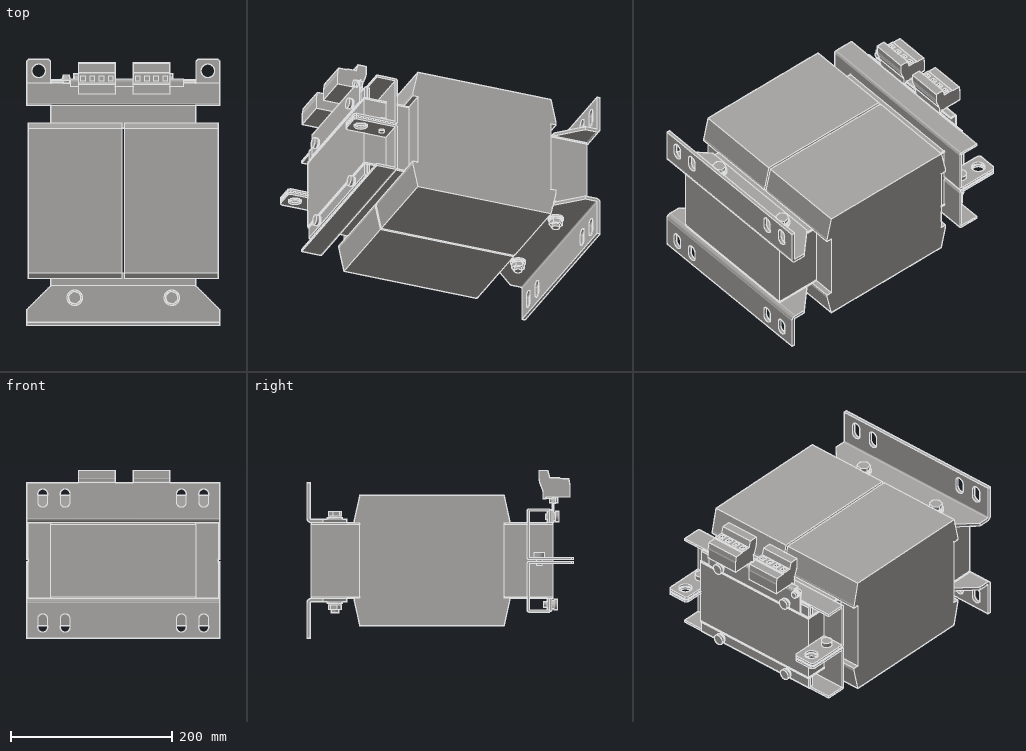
import cadquery as cq

TOTAL_WIDTH = 240.0
TOTAL_DEPTH = 331.0
HALF_WIDTH = TOTAL_WIDTH / 2

CORE_WIDTH = 180.0
CORE_HEIGHT = 90.0
CORE_FRONT = 5.0
CORE_BACK = 305.5
YOKE_DEPTH = 60.5
PAD_THICKNESS = 2.0
PAD_INSET = 0.3
CLAMP_Z = CORE_HEIGHT / 2 + PAD_THICKNESS

COIL_GAP = 3.0
COIL_SIDE = 118.2
COIL_HEIGHT = 162.2
COIL_OVERHANG = 7.0
COIL_FLANGE_Z = 46.5
COIL_LIP = 3.3

ANGLE_THICKNESS = 4.3
ANGLE_INNER_BEND = 1.0
ANGLE_TOP = 96.5
ANGLE_DEPTH = 49.5
ANGLE_END_DEPTH = 20.0
SLOT_POSITIONS = (72.0, 100.0)
SLOT_WIDTH = 12.0
SLOT_LENGTH = 22.5
SLOT_Z = 77.5

CORE_BOLT_X = 60.2
CORE_BOLT_Y = 34.8
WASHER_DIAMETER = 19.2
WASHER_HEIGHT = 2.0
SPRING_DIAMETER = 15.2
SPRING_HEIGHT = 2.0
HEX_CORNERS = 16.5
HEX_HEIGHT = 5.5
HEX_TURN = 18.0
STUD_DIAMETER = 9.5
STUD_END = 4.0

SHEET = 3.0
BRACKET_BEND = 2.3
BRACKET_FRONT = 273.5
BRACKET_BACK = 301.2
BRACKET_TOP = 64.2
BAR_TOP = 63.2
BAR_THICKNESS = 3.3
BAR_CHAMFER = 1.5
BAR_INSET = 1.0
TAB_GAP = 2.0
TAB_CHAMFER = 2.5
LIFT_HOLE = 16.5
LIFT_HOLE_Y = 316.5

SCREW_HEAD = 13.2
SCREW_HEAD_HEIGHT = 4.5
SCREW_COLLAR = 10.5
SCREW_COLLAR_HEIGHT = 2.0
SCREW_SHANK = 7.0
LIP_SCREW_X = 55.0
LIP_SCREW_Z = 54.5
UPPER_SCREW_END = 296.0
LOWER_SCREW_END = 293.5
TAB_SCREW_Y = 288.3
TAB_SCREW_HEAD_HEIGHT = 6.3
TAB_SCREW_END = -6.0

RAIL_LEFT = -65.5
RAIL_RIGHT = 74.8
RAIL_SHEET = 2.0
RAIL_BEND = 3.0
RAIL_FLANGE_FRONT = 297.2
EARTH_X = -70.8
EARTH_Z = 75.5
EARTH_PLATE_WIDTH = 12.5
EARTH_HEAD = 8.0
EARTH_WASHER = 9.0
EARTH_NUT_END = 301.0
EARTH_WASHER_END = 308.5
EARTH_HEAD_END = 311.5

TERMINAL_BOTTOM = 78.8
TERMINAL_TOP = 112.0
TERMINAL_WIDTH = 45.7
TERMINAL_STARTS = (-55.5, 12.2)
WIRE_OPENINGS = 4
OPENING_WIDTH = 6.0
OPENING_DEPTH = 6.5
OPENING_Y = 307.0
OPENING_FLOOR = 99.3


def box(x0, x1, y0, y1, z0, z1):
    """Axis-aligned block between two opposite corners."""
    return cq.Workplane("XY").box(x1 - x0, y1 - y0, z1 - z0, centered=False).translate((x0, y0, z0))


def cylinder_y(x, z, y0, y1, diameter):
    """Cylinder along Y from y0 to y1."""
    return cq.Workplane("XZ", origin=(x, y0, z)).circle(diameter / 2).extrude(y0 - y1)


def cylinder_z(x, y, z0, z1, diameter):
    """Cylinder along Z from z0 to z1."""
    return cq.Workplane("XY", origin=(x, y, z0)).circle(diameter / 2).extrude(z1 - z0)


def profile_x(points, x0, x1):
    """Prism along X with an outline given as (y, z) points."""
    return cq.Workplane("YZ", origin=(x0, 0, 0)).polyline(points).close().extrude(x1 - x0)


def both_sides(shape, plane):
    """A shape joined with its mirror image."""
    return shape.union(shape.mirror(plane))


def make_core():
    """Front and rear yokes with an insulating pad on their upper and lower faces."""
    half = CORE_WIDTH / 2
    core = None
    for y0 in (CORE_FRONT, CORE_BACK - YOKE_DEPTH):
        y1 = y0 + YOKE_DEPTH
        yoke = box(-half, half, y0, y1, -CORE_HEIGHT / 2, CORE_HEIGHT / 2)
        pad = box(-half + PAD_INSET, half - PAD_INSET, y0 + PAD_INSET, y1 - PAD_INSET, -CLAMP_Z, CLAMP_Z)
        yoke = yoke.union(pad)
        core = yoke if core is None else core.union(yoke)
    return core


def make_coils():
    """Two coils whose tapered flanges reach over the yokes above and below the core."""
    front = CORE_FRONT + YOKE_DEPTH
    back = CORE_BACK - YOKE_DEPTH
    top = COIL_HEIGHT / 2
    upper = [
        (front, 0),
        (front, COIL_FLANGE_Z),
        (front - COIL_OVERHANG, COIL_FLANGE_Z),
        (front - COIL_OVERHANG, COIL_FLANGE_Z + COIL_LIP),
        (front, top),
        (back, top),
        (back + COIL_OVERHANG, COIL_FLANGE_Z + COIL_LIP),
        (back + COIL_OVERHANG, COIL_FLANGE_Z),
        (back, COIL_FLANGE_Z),
        (back, 0),
    ]
    coil = both_sides(profile_x(upper, COIL_GAP / 2, COIL_SIDE), "XY")
    return both_sides(coil, "YZ")


def make_front_angle():
    """Upper mounting angle: a slotted upright and a tapered foot clamped on the front yoke."""
    foot_top = CLAMP_Z + ANGLE_THICKNESS
    upright = box(-HALF_WIDTH, HALF_WIDTH, 0, ANGLE_THICKNESS, CLAMP_Z, ANGLE_TOP)
    foot_outline = [
        (-HALF_WIDTH, 0),
        (HALF_WIDTH, 0),
        (HALF_WIDTH, ANGLE_END_DEPTH),
        (CORE_WIDTH / 2, ANGLE_DEPTH),
        (-CORE_WIDTH / 2, ANGLE_DEPTH),
        (-HALF_WIDTH, ANGLE_END_DEPTH),
    ]
    foot_plane = cq.Workplane("XY", origin=(0, 0, CLAMP_Z))
    foot = foot_plane.polyline(foot_outline).close().extrude(ANGLE_THICKNESS)
    angle = upright.union(foot).edges("|X and <Y and <Z").fillet(ANGLE_THICKNESS + ANGLE_INNER_BEND)
    inner_corner = (0, ANGLE_THICKNESS, foot_top)
    angle = angle.edges(cq.NearestToPointSelector(inner_corner)).fillet(ANGLE_INNER_BEND)
    slot_centres = [(side * x, SLOT_Z) for side in (-1, 1) for x in SLOT_POSITIONS]
    slots = (
        cq.Workplane("XZ")
        .pushPoints(slot_centres)
        .slot2D(SLOT_LENGTH, SLOT_WIDTH, 90)
        .extrude(-ANGLE_THICKNESS)
    )
    return angle.cut(slots)


def make_bolt_end(x, turn):
    """Upward bolt end: flat washer, spring washer and a hexagon turned about its axis."""
    washer_base = CLAMP_Z + ANGLE_THICKNESS
    spring_base = washer_base + WASHER_HEIGHT
    hex_base = spring_base + SPRING_HEIGHT
    washer = cylinder_z(x, CORE_BOLT_Y, washer_base, spring_base, WASHER_DIAMETER)
    spring = cylinder_z(x, CORE_BOLT_Y, spring_base, hex_base, SPRING_DIAMETER)
    hexagon = (
        cq.Workplane("XY")
        .polygon(6, HEX_CORNERS)
        .extrude(HEX_HEIGHT)
        .rotate((0, 0, 0), (0, 0, 1), turn)
        .translate((x, CORE_BOLT_Y, hex_base))
    )
    return washer.union(spring).union(hexagon)


def make_core_bolts():
    """Two core bolts with heads above, and nuts and stud ends below."""
    nut_face = CLAMP_Z + ANGLE_THICKNESS + WASHER_HEIGHT + SPRING_HEIGHT + HEX_HEIGHT
    bolts = None
    for x in (-CORE_BOLT_X, CORE_BOLT_X):
        head = make_bolt_end(x, -HEX_TURN)
        nut = make_bolt_end(x, HEX_TURN).mirror("XY")
        stud = cylinder_z(x, CORE_BOLT_Y, -nut_face - STUD_END, CLAMP_Z, STUD_DIAMETER)
        bolt = stud.union(head).union(nut)
        bolts = bolt if bolts is None else bolts.union(bolt)
    return bolts


def make_rear_bracket():
    """Upper rear bracket: web, top flange with a turned-down lip, clamp bar and two lifting tabs."""
    half_core = CORE_WIDTH / 2
    tab_bottom = TAB_GAP / 2
    web = box(-HALF_WIDTH, HALF_WIDTH, BRACKET_FRONT, BRACKET_FRONT + SHEET, tab_bottom, BRACKET_TOP)
    web = web.cut(box(-half_core, half_core, 0, TOTAL_DEPTH, 0, CLAMP_Z))
    flange = box(-HALF_WIDTH, HALF_WIDTH, BRACKET_FRONT, BRACKET_BACK, BRACKET_TOP - SHEET, BRACKET_TOP)
    lip = box(-half_core, half_core, BRACKET_BACK - SHEET, BRACKET_BACK, CLAMP_Z, BRACKET_TOP)
    half_bar = half_core - BAR_INSET
    bar = box(-half_bar, half_bar, BRACKET_BACK, BRACKET_BACK + BAR_THICKNESS, CLAMP_Z, BAR_TOP)
    bar = bar.edges("|X and >Y and >Z").chamfer(BAR_CHAMFER)
    tab = box(half_core, HALF_WIDTH, BRACKET_FRONT, TOTAL_DEPTH, tab_bottom, tab_bottom + SHEET)
    tab = tab.edges("|Z and >Y").chamfer(TAB_CHAMFER)
    tab_x = (half_core + HALF_WIDTH) / 2
    tab = tab.cut(cylinder_z(tab_x, LIFT_HOLE_Y, 0, CLAMP_Z, LIFT_HOLE))
    bracket = web.union(flange).union(both_sides(tab, "YZ"))
    bracket = bracket.edges("|X and <Y and (>Z or <Z)").fillet(BRACKET_BEND)
    return bracket.union(lip).union(bar)


def make_lip_screw(x, z, seat, end):
    """Screw along Y whose collar sits on the plane y = seat."""
    head_base = seat + SCREW_COLLAR_HEIGHT
    shank = cylinder_y(x, z, end, seat, SCREW_SHANK)
    collar = cylinder_y(x, z, seat, head_base, SCREW_COLLAR)
    head = cylinder_y(x, z, head_base, head_base + SCREW_HEAD_HEIGHT, SCREW_HEAD)
    return shank.union(collar).union(head)


def make_tab_screw(x):
    """Vertical screw joining the upper and lower lifting tabs."""
    head_base = TAB_GAP / 2 + SHEET
    shank = cylinder_z(x, TAB_SCREW_Y, TAB_SCREW_END, head_base, SCREW_SHANK)
    head = cylinder_z(x, TAB_SCREW_Y, head_base, head_base + TAB_SCREW_HEAD_HEIGHT, SCREW_HEAD)
    return shank.union(head)


def make_rear_screws():
    """Screws of both clamp bars and of both tab pairs."""
    bar_face = BRACKET_BACK + BAR_THICKNESS
    tab_x = (CORE_WIDTH / 2 + HALF_WIDTH) / 2
    upper = make_lip_screw(LIP_SCREW_X, LIP_SCREW_Z, bar_face + RAIL_SHEET, UPPER_SCREW_END)
    lower = make_lip_screw(LIP_SCREW_X, -LIP_SCREW_Z, bar_face, LOWER_SCREW_END)
    return both_sides(upper.union(lower).union(make_tab_screw(tab_x)), "YZ")


def make_rail():
    """Thin upright sheet with a top flange for the terminals and an earth screw at its left end."""
    sheet_front = BRACKET_BACK + BAR_THICKNESS
    sheet_back = sheet_front + RAIL_SHEET
    flange_bottom = TERMINAL_BOTTOM - RAIL_SHEET
    upright_left = EARTH_X - EARTH_PLATE_WIDTH / 2
    upright = box(upright_left, RAIL_RIGHT, sheet_front, sheet_back, CLAMP_Z, TERMINAL_BOTTOM)
    flange = box(RAIL_LEFT, RAIL_RIGHT, RAIL_FLANGE_FRONT, sheet_back, flange_bottom, TERMINAL_BOTTOM)
    rail = upright.union(flange).edges("|X and >Y and >Z").fillet(RAIL_BEND)
    nut = cylinder_y(EARTH_X, EARTH_Z, EARTH_NUT_END, sheet_front, EARTH_HEAD)
    washer = cylinder_y(EARTH_X, EARTH_Z, sheet_back, EARTH_WASHER_END, EARTH_WASHER)
    head = cylinder_y(EARTH_X, EARTH_Z, EARTH_WASHER_END, EARTH_HEAD_END, EARTH_HEAD)
    return rail.union(nut).union(washer).union(head)


def make_terminal_block(x0):
    """Terminal block with a raised front ridge, a lower foot and a row of square openings."""
    outline = [
        (326.7, TERMINAL_BOTTOM),
        (326.7, 93.5),
        (325.5, 101.5),
        (314.5, 102.0),
        (313.5, 103.0),
        (301.5, 103.0),
        (299.2, TERMINAL_TOP),
        (288.0, TERMINAL_TOP),
        (288.0, 101.5),
        (288.5, 97.3),
        (293.0, 86.0),
        (293.0, 76.5),
        (296.5, 76.5),
        (296.5, TERMINAL_BOTTOM),
    ]
    block = profile_x(outline, x0, x0 + TERMINAL_WIDTH)
    pitch = TERMINAL_WIDTH / WIRE_OPENINGS
    for index in range(WIRE_OPENINGS):
        x = x0 + (index + 0.5) * pitch
        opening = box(
            x - OPENING_WIDTH / 2,
            x + OPENING_WIDTH / 2,
            OPENING_Y - OPENING_DEPTH / 2,
            OPENING_Y + OPENING_DEPTH / 2,
            OPENING_FLOOR,
            TERMINAL_TOP,
        )
        block = block.cut(opening)
    return block


result = make_core().union(make_coils())
result = result.union(both_sides(make_front_angle(), "XY"))
result = result.union(make_core_bolts())
result = result.union(both_sides(make_rear_bracket(), "XY"))
result = result.union(make_rear_screws())
result = result.union(make_rail())
for terminal_start in TERMINAL_STARTS:
    result = result.union(make_terminal_block(terminal_start))